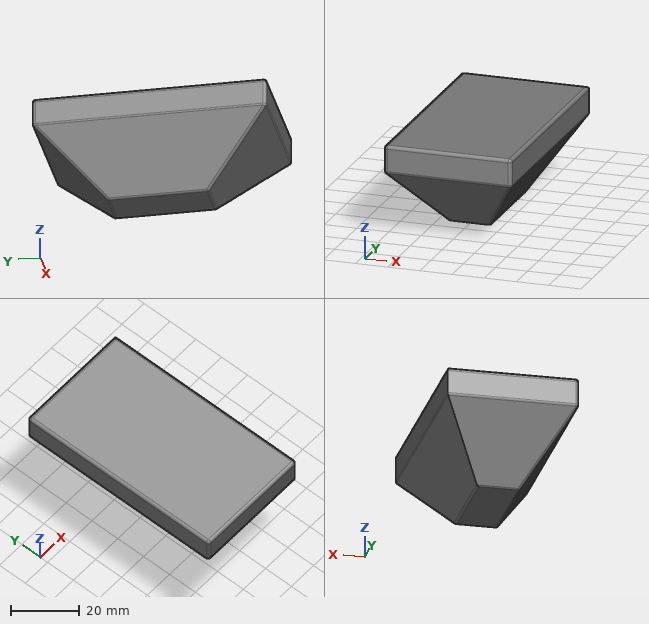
import cadquery as cq

slab_width = 39.5
slab_length = 70.0
total_height = 28.4
slab_height = 8.4
base_width = 12.7
base_length = 30.0
edge_radius = 1.0

taper_height = total_height - slab_height


def make_taper():
    """Inverted pyramid frustum, growing from the small foot to the slab outline."""
    return (
        cq.Workplane("XY")
        .rect(base_width, base_length)
        .workplane(offset=taper_height)
        .rect(slab_width, slab_length)
        .loft(ruled=True)
    )


def make_slab():
    """Rectangular slab on top of the taper."""
    return cq.Workplane("XY", origin=(0, 0, taper_height)).rect(slab_width, slab_length).extrude(slab_height)


def round_edges(body):
    """Round every edge except the upright and sloping ones at the +X +Y corner, which stay sharp."""

    def is_sharp(edge):
        center = edge.Center()
        return center.x > edge_radius and center.y > edge_radius

    rounded = [edge for edge in body.edges().vals() if not is_sharp(edge)]
    return body.newObject(rounded).fillet(edge_radius)


result = round_edges(make_slab().union(make_taper()))